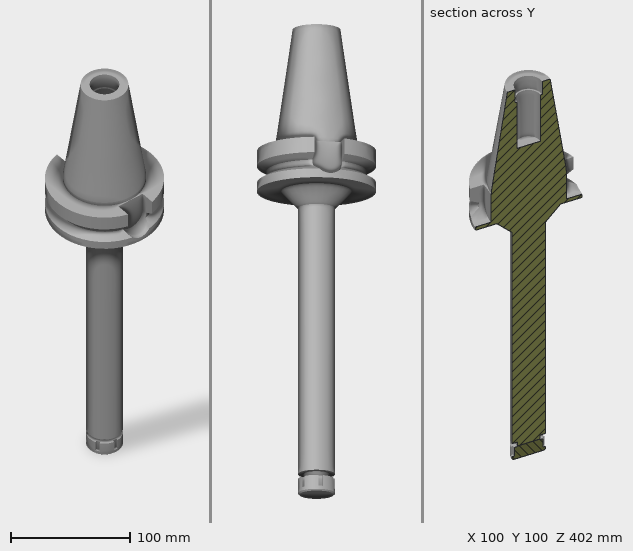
import cadquery as cq
import math

total_length = 402.0
gauge_z = 300.0
flange_top_z = 297.0
flange_bottom_z = 262.0
cone_bottom_z = 247.5
shank_bottom_z = 17.5
nut_height = 13.3

taper_per_length = 7 / 24
gauge_radius = 35.0
taper_top_radius = gauge_radius - (total_length - gauge_z) * taper_per_length / 2
flange_radius = 100.0 / 2
cone_top_radius = 29.7
shank_radius = 15.5
neck_radius = 11.0

groove_radius = 42.0
groove_top_z = 283.5
groove_bottom_z = 269.5
groove_side_angle = 30
groove_side_drop = (flange_radius - groove_radius) * math.tan(math.radians(groove_side_angle))

drive_slot_width = 25.7
drive_slot_floor = 35.5
drive_slot_bottom_z = 266.0

bore_radius = 12.5
bore_depth = 14.0
inner_bore_radius = 11.0
inner_bore_depth = 64.3

nut_radius = shank_radius
nut_chamfer = 1.2
wrench_slot_count = 6
wrench_slot_width = 3.5
wrench_slot_bottom_z = 4.0
wrench_slot_depth = 2.0


def make_holder_blank():
    """Revolve the taper, grooved flange, cone, shank and neck about Z."""
    outline = [
        (0, nut_height),
        (neck_radius, nut_height),
        (neck_radius, shank_bottom_z),
        (shank_radius, shank_bottom_z),
        (shank_radius, cone_bottom_z),
        (cone_top_radius, flange_bottom_z),
        (flange_radius, flange_bottom_z),
        (flange_radius, groove_bottom_z),
        (groove_radius, groove_bottom_z + groove_side_drop),
        (groove_radius, groove_top_z - groove_side_drop),
        (flange_radius, groove_top_z),
        (flange_radius, flange_top_z),
        (gauge_radius, flange_top_z),
        (gauge_radius, gauge_z),
        (taper_top_radius, total_length),
        (0, total_length),
    ]
    return cq.Workplane("XZ").polyline(outline).close().revolve(360, (0, 0), (0, 1))


def make_drive_slot():
    """Cutter for the drive slot on the +X side."""
    half_width = drive_slot_width / 2
    arc_center_z = drive_slot_bottom_z + half_width
    return (
        cq.Workplane("YZ", origin=(drive_slot_floor, 0, 0))
        .moveTo(-half_width, flange_top_z)
        .lineTo(-half_width, arc_center_z)
        .threePointArc((0, drive_slot_bottom_z), (half_width, arc_center_z))
        .lineTo(half_width, flange_top_z)
        .close()
        .extrude(flange_radius - drive_slot_floor)
    )


def cut_blind_bore(body, radius, depth):
    """Cut a flat-bottomed bore down from the small end of the taper."""
    bore = cq.Workplane("XY", origin=(0, 0, total_length - depth)).circle(radius).extrude(depth)
    return body.cut(bore)


def make_holder():
    holder = make_holder_blank()
    for angle in (0, 180):
        holder = holder.cut(make_drive_slot().rotate((0, 0, 0), (0, 0, 1), angle))
    holder = cut_blind_bore(holder, bore_radius, bore_depth)
    return cut_blind_bore(holder, inner_bore_radius, inner_bore_depth)


def make_nut():
    """Round nut below the neck, with wrench slots open at its top and rim."""
    nut = cq.Workplane("XY").circle(nut_radius).extrude(nut_height)
    nut = nut.faces("<Z").edges().chamfer(nut_chamfer)
    slot = cq.Workplane("XY").box(
        wrench_slot_depth,
        wrench_slot_width,
        nut_height - wrench_slot_bottom_z,
        centered=(False, True, False),
    ).translate((nut_radius - wrench_slot_depth, 0, wrench_slot_bottom_z))
    for index in range(wrench_slot_count):
        nut = nut.cut(slot.rotate((0, 0, 0), (0, 0, 1), index * 360 / wrench_slot_count))
    return nut


holder = make_holder()
nut = make_nut()

result = cq.Compound.makeCompound([holder.val(), nut.val()])